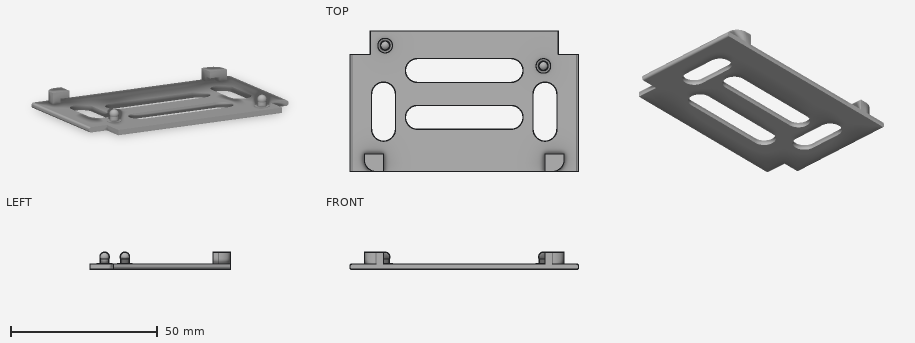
import cadquery as cq

plate_width = 78.0
plate_depth = 48.0
plate_thickness = 1.9
side_length = 40.0
tongue_width = 64.2
side_edge_radius = 0.7

slot_width = 8.0
long_slot_length = 40.0
long_slot_y = (18.5, 34.5)
short_slot_length = 20.05
short_slot_x = 27.5
short_slot_y = 20.4

total_height = 5.9
pin_positions = ((-27.0, 43.0), (27.0, 36.0))
pin_diameter = 3.0
ball_diameter = 3.3
pad_diameter = 5.0
pad_height = 0.195

clip_inner_x = 27.45
clip_outer_x = 34.1
clip_depth = 6.0
clip_corner_radius = 4.05
clip_wall = 3.0
clip_undercut_height = 1.7


def make_plate():
    body = (
        cq.Workplane("XY")
        .box(plate_width, side_length, plate_thickness, centered=(True, False, False))
        .edges("|Y")
        .fillet(side_edge_radius)
    )
    tongue = cq.Workplane("XY").box(
        tongue_width, plate_depth, plate_thickness, centered=(True, False, False)
    )
    return body.union(tongue)


def cut_slots(plate):
    long_slots = (
        cq.Workplane("XY")
        .pushPoints([(0, y) for y in long_slot_y])
        .slot2D(long_slot_length, slot_width)
        .extrude(plate_thickness)
    )
    short_slots = (
        cq.Workplane("XY")
        .pushPoints([(x, short_slot_y) for x in (-short_slot_x, short_slot_x)])
        .slot2D(short_slot_length, slot_width, angle=90)
        .extrude(plate_thickness)
    )
    return plate.cut(long_slots).cut(short_slots)


def make_pin(x, y):
    ball_center_z = total_height - ball_diameter / 2
    base = cq.Workplane("XY", origin=(x, y, plate_thickness))
    pad = base.circle(pad_diameter / 2).extrude(pad_height)
    shank = base.circle(pin_diameter / 2).extrude(ball_center_z - plate_thickness)
    ball = cq.Workplane("XY", origin=(x, y, ball_center_z)).sphere(ball_diameter / 2)
    return pad.union(shank).union(ball)


def make_right_clip():
    clip_width = clip_outer_x - clip_inner_x
    block = (
        cq.Workplane("XY", origin=(clip_inner_x, 0, plate_thickness))
        .box(clip_width, clip_depth, total_height - plate_thickness, centered=False)
        .edges("|Z and >X and <Y")
        .fillet(clip_corner_radius)
    )
    undercut = cq.Workplane("XY", origin=(clip_inner_x, clip_wall, plate_thickness)).box(
        clip_width - clip_wall, clip_depth - clip_wall, clip_undercut_height, centered=False
    )
    return block.cut(undercut)


result = cut_slots(make_plate())
for pin_x, pin_y in pin_positions:
    result = result.union(make_pin(pin_x, pin_y))
right_clip = make_right_clip()
result = result.union(right_clip).union(right_clip.mirror("YZ"))